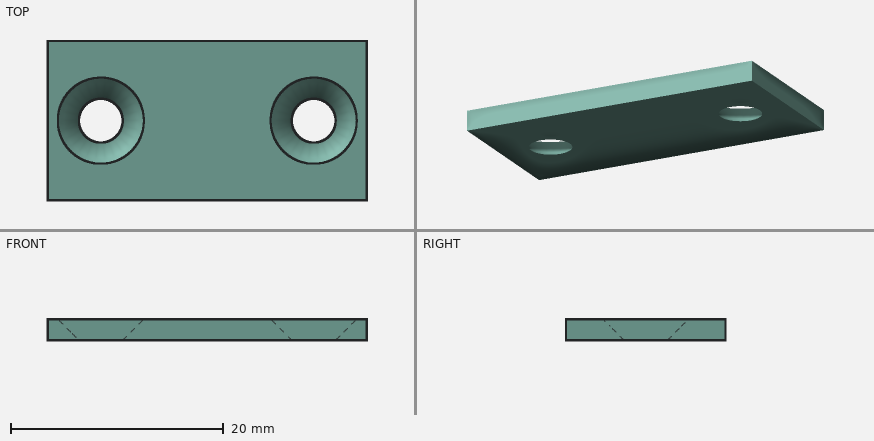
import cadquery as cq
import math

length = 30.0
width = 15.0
thickness = 2.0

hole_spacing = 20.0
hole_diameter = 4.1
countersink_angle = 90.0
countersink_diameter = hole_diameter + 2 * thickness * math.tan(math.radians(countersink_angle / 2))


def make_plate():
    """Flat rectangular plate centred in X and Y, with its underside at Z = 0."""
    return cq.Workplane("XY").box(length, width, thickness, centered=(True, True, False))


def make_countersink(x):
    """Conical cutter, widest at the top face and narrowing to the hole size at the underside."""
    cone = cq.Solid.makeCone(hole_diameter / 2, countersink_diameter / 2, thickness)
    return cq.Workplane(cone.translate(cq.Vector(x, 0, 0)))


result = make_plate()
for side in (-1, 1):
    result = result.cut(make_countersink(side * hole_spacing / 2))